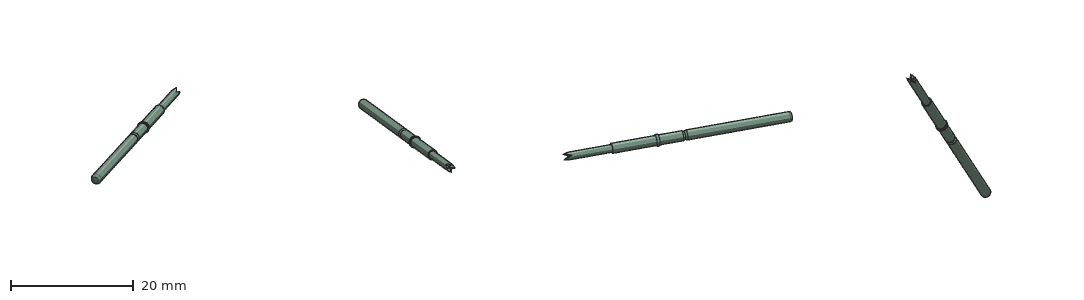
import cadquery as cq
import math

length = 38.4
tip_y = length / 2
tail_y = tip_y - length

plunger_radius = 0.65
plunger_length = 8.05

barrel_radius = 0.85
tail_fillet = 0.4

collar_radius = 1.0
collar_start = 15.48
collar_width = 0.5
collar_edge_radius = 0.92

crimp_start = 19.95
crimp_width = 0.73
crimp_waist_radius = 0.7

crown_center_depth = 0.75
groove_tilt = 35.0
groove_height = 2.3
point_count = 4
point_spacing = 360 / point_count


def make_turned_body():
    """Revolve the half outline of plunger, barrel, collar and crimp about the Y axis."""
    barrel_y = tip_y - plunger_length
    collar_front = tip_y - collar_start
    collar_back = collar_front - collar_width
    collar_middle = collar_front - collar_width / 2
    crimp_front = tip_y - crimp_start
    crimp_middle = crimp_front - crimp_width / 2
    crimp_back = crimp_front - crimp_width
    outline = (
        cq.Workplane("YZ")
        .moveTo(tip_y, 0)
        .lineTo(tip_y, plunger_radius)
        .lineTo(barrel_y, plunger_radius)
        .lineTo(barrel_y, barrel_radius)
        .lineTo(collar_front, barrel_radius)
        .lineTo(collar_front, collar_edge_radius)
        .threePointArc((collar_middle, collar_radius), (collar_back, collar_edge_radius))
        .lineTo(collar_back, barrel_radius)
        .lineTo(crimp_front, barrel_radius)
        .lineTo(crimp_middle, crimp_waist_radius)
        .lineTo(crimp_back, barrel_radius)
        .lineTo(tail_y + tail_fillet, barrel_radius)
        .radiusArc((tail_y, barrel_radius - tail_fillet), -tail_fillet)
        .lineTo(tail_y, 0)
        .close()
    )
    return outline.revolve(360, (0, 0, 0), (1, 0, 0))


def make_crown_groove(angle):
    """V groove running outward from the axis and sloping toward the tail, turned about Y."""
    tilt = math.radians(groove_tilt)
    half_spacing = math.radians(point_spacing / 2)
    ridge_rise = crown_center_depth / plunger_radius
    wall_slope = (ridge_rise + math.tan(tilt) * math.cos(half_spacing)) / math.sin(half_spacing)
    half_width = groove_height / (wall_slope * math.cos(tilt))
    reach = 2 * plunger_radius
    groove = (
        cq.Workplane("XY")
        .polyline([(0, 0), (half_width, groove_height), (-half_width, groove_height)])
        .close()
        .extrude(reach, both=True)
        .rotate((0, 0, 0), (1, 0, 0), -groove_tilt)
    )
    return (
        groove.rotate((0, 0, 0), (0, 1, 0), angle)
        .translate((0, tip_y - crown_center_depth, 0))
    )


result = make_turned_body()
for index in range(point_count):
    result = result.cut(make_crown_groove((index + 0.5) * point_spacing))